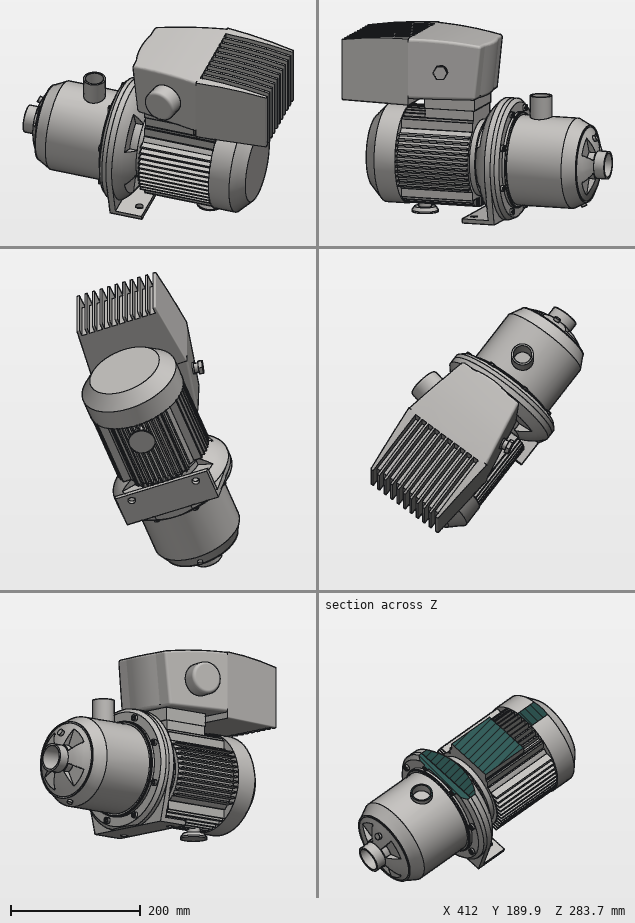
import cadquery as cq
import math

GROUND_Z = -90.2

INLET_RADIUS = 21.5
INLET_BORE_RADIUS = 18.5
INLET_BORE_DEPTH = 33.0
OUTLET_X = 109.0
OUTLET_TOP_Z = 103.0
OUTLET_RADIUS = 17.0
OUTLET_BORE_RADIUS = 14.0
OUTLET_BORE_DEPTH = 41.0
DOME_START_X = 16.5
DOME_MIDDLE = (22.2, 39.5)
DOME_END = (31.0, 55.0)
DOME_HUB_RADIUS = 23.0
HEAD_RIM_X = 32.0
HEAD_RIM_INNER_RADIUS = 57.3
HEAD_RIM_RADIUS = 59.7
HEAD_CONE_X = 33.5
BARREL_START_X = 53.0
BARREL_RADIUS = 70.0
COLLAR_LIP_X = 141.7
COLLAR_LIP_RADIUS = 73.0
COLLAR_X = 143.8
COLLAR_RADIUS = 74.5
DOME_POCKET_X = 27.5
DOME_POCKET_ANGLE = 38.0
PLUG_HEIGHT = 3.7
VENT_PLUG_RADIUS = 5.0
VENT_PLUG_X = 22.0
VENT_PLUG_OFFSET = 40.8
VENT_PLUG_TILT = 25.0
DRAIN_PLUG_RADIUS = 4.0
DRAIN_PLUG_X = 40.5

RING_START_X = 148.0
RING_END_X = 160.3
FLANGE_RADIUS = 94.95
RING_CHAMFER = 5.8
SCREW_COUNT = 8
SCREW_CIRCLE_RADIUS = 82.5
SCREW_HEAD_RADIUS = 4.75
SCREW_HEAD_HEIGHT = 4.5
SCREW_SOCKET_RADIUS = 3.0
SCREW_SOCKET_DEPTH = 2.0

LANTERN_RIM_END_X = 169.7
LANTERN_CURVE_MIDDLE = (186.2, 77.5)
LANTERN_CURVE_END = (197.5, 55.0)
WINDOW_HUB_RADIUS = 54.5
SPIGOT_RADIUS = 59.5
WINDOW_X = 183.8
WINDOW_ANGLE = 44.0
FOOT_HALF_WIDTH = 75.0
FOOT_END_X = 212.0
FOOT_THICKNESS = 7.0
FOOT_HOLE_RADIUS = 5.8
FOOT_HOLE_X = 200.5
FOOT_HOLE_Y = 52.7

MOTOR_START_X = 206.0
MOTOR_END_X = 321.5
MOTOR_RADIUS = 76.2
CORE_RADIUS = 66.0
BLOCK_HALF_WIDTH = 43.5
BLOCK_TOP_Z = 61.0
LEDGE_Z = 47.5
FIN_THICKNESS = 2.0
FIN_PITCH = 8.0
FINS_PER_HALF = 5
PAD_START_X = 206.0
PAD_END_X = 284.5
PAD_HALF_WIDTH = 40.0
PAD_TOP_Z = 79.5

COVER_RADIUS = 77.5
COVER_TAPER_X = 355.0
COVER_END_X = 375.0
COVER_END_RADIUS = 57.3

STEM_X = 298.0
STEM_RADIUS = 10.5
STEM_TOP_Z = -BLOCK_TOP_Z
FOOT_CONE_TOP_Z = -82.0
FOOT_CONE_TOP_RADIUS = 16.5
FOOT_DISC_TOP_Z = -87.8
FOOT_DISC_RADIUS = 20.5

NECK_START_X = 204.5
NECK_END_X = 285.5
NECK_HALF_WIDTH = 40.5
BOX_BOTTOM_Z = 99.3
BOX_REAR_BOTTOM_Z = 89.5
BOX_SPLIT_X = 300.5
BOX_SPLIT_HALF_WIDTH = 75.5
BOX_END_X = 412.0
BOX_END_HALF_WIDTH = 65.0
BOX_CORNER = (189.0, 54.5)
BOX_FLAT_END = (188.3, 33.5)
BOX_BULGE_X = 183.8
BOX_FRONT_LEAN = 0.11
ROOF_FRONT = (181.3, 183.0)
ROOF_TOP = (300.0, 193.5)
ROOF_END_Z = 184.0
ROOF_CLEARANCE_Z = 197.8
ROOF_EDGE_Z = 184.5
BOX_EDGE_RADIUS = 4.5
BOX_REAR_EDGE_RADIUS = 2.0
SLOT_COUNT = 10
SLOT_START_X = 303.0
SLOT_FLOOR_END_X = 401.3
SLOT_FLOOR_Z = 165.0
HEAT_FIN_THICKNESS = 3.7
HEAT_SLOT_WIDTH = 8.75

FITTING_X = 249.3
FITTING_Z = 144.0
KNOB_RADIUS = 25.0
KNOB_LENGTH = 25.0
KNOB_EDGE_RADIUS = 5.0
GLAND_NECK_RADIUS = 7.5
GLAND_NECK_LENGTH = 9.5
GLAND_COLLAR_RADIUS = 9.0
GLAND_COLLAR_LENGTH = 2.5
GLAND_HEX_DIAMETER = 22.5
GLAND_HEX_LENGTH = 6.0


def turned(points):
    """Solid turned around the shaft axis from (X, radius) points."""
    return cq.Workplane("XY").polyline(points).close().revolve(360, (0, 0, 0), (1, 0, 0))


def disc(start_x, end_x, radius):
    return cq.Workplane("YZ", origin=(start_x, 0, 0)).circle(radius).extrude(end_x - start_x)


def block(x_range, y_range, z_range):
    size = [high - low for low, high in (x_range, y_range, z_range)]
    corner = cq.Vector(x_range[0], y_range[0], z_range[0])
    return cq.Workplane("XY").box(*size, centered=False).translate(corner)


def diagonal_sectors(start_x, end_x, inner_radius, outer_radius, opening):
    """Four ring sectors, each centred on a diagonal of the YZ plane."""
    ring = disc(start_x, end_x, outer_radius).cut(disc(start_x, end_x, inner_radius))
    reach = 2 * outer_radius
    half_height = reach * math.tan(math.radians(opening / 2))
    wedge = (
        cq.Workplane("YZ", origin=(start_x, 0, 0))
        .polyline([(0, 0), (reach, -half_height), (reach, half_height)])
        .close()
        .extrude(end_x - start_x)
    )
    sectors = cq.Workplane("XY")
    for angle in (45, 135, 225, 315):
        turned_wedge = wedge.rotate((0, 0, 0), (1, 0, 0), angle)
        sectors = sectors.add(ring.intersect(turned_wedge))
    return sectors.combine()


def above_ground(body):
    reach = 2 * FLANGE_RADIUS
    return body.cut(block((0, BOX_END_X), (-reach, reach), (GROUND_Z - reach, GROUND_Z)))


def plug(x, z, direction, radius):
    """Round plug standing out of the casing at (x, 0, z); it is sunk as deep as it stands out."""
    outward = cq.Vector(*direction).normalized()
    start = cq.Vector(x, 0, z) - outward * PLUG_HEIGHT
    return cq.Workplane(cq.Solid.makeCylinder(radius, 2 * PLUG_HEIGHT, start, outward))


def make_casing():
    profile = (
        cq.Workplane("XY")
        .moveTo(0, 0)
        .lineTo(0, INLET_RADIUS)
        .lineTo(DOME_START_X, INLET_RADIUS)
        .threePointArc(DOME_MIDDLE, DOME_END)
        .lineTo(HEAD_RIM_X, HEAD_RIM_INNER_RADIUS)
        .lineTo(HEAD_RIM_X, HEAD_RIM_RADIUS)
        .lineTo(HEAD_CONE_X, HEAD_RIM_RADIUS)
        .lineTo(BARREL_START_X, BARREL_RADIUS)
        .lineTo(COLLAR_LIP_X, BARREL_RADIUS)
        .lineTo(COLLAR_LIP_X, COLLAR_LIP_RADIUS)
        .lineTo(COLLAR_X, COLLAR_LIP_RADIUS)
        .lineTo(COLLAR_X, COLLAR_RADIUS)
        .lineTo(RING_START_X, COLLAR_RADIUS)
        .lineTo(RING_START_X, 0)
        .close()
    )
    casing = profile.revolve(360, (0, 0, 0), (1, 0, 0))
    casing = casing.cut(
        diagonal_sectors(0, DOME_POCKET_X, DOME_HUB_RADIUS, BARREL_RADIUS, DOME_POCKET_ANGLE)
    )
    casing = casing.cut(disc(0, INLET_BORE_DEPTH, INLET_BORE_RADIUS))

    outlet = cq.Workplane("XY", origin=(OUTLET_X, 0, 0)).circle(OUTLET_RADIUS).extrude(OUTLET_TOP_Z)
    outlet_bore = (
        cq.Workplane("XY", origin=(OUTLET_X, 0, OUTLET_TOP_Z))
        .circle(OUTLET_BORE_RADIUS)
        .extrude(-OUTLET_BORE_DEPTH)
    )
    casing = casing.union(outlet).cut(outlet_bore)

    tilt = math.radians(VENT_PLUG_TILT)
    vent_direction = (-math.cos(tilt), 0, math.sin(tilt))
    casing = casing.union(plug(VENT_PLUG_X, VENT_PLUG_OFFSET, vent_direction, VENT_PLUG_RADIUS))

    cone_length = BARREL_START_X - HEAD_CONE_X
    cone_rise = BARREL_RADIUS - HEAD_RIM_RADIUS
    drain_offset = HEAD_RIM_RADIUS + cone_rise * (DRAIN_PLUG_X - HEAD_CONE_X) / cone_length
    drain_direction = (-cone_rise, 0, -cone_length)
    return casing.union(plug(DRAIN_PLUG_X, -drain_offset, drain_direction, DRAIN_PLUG_RADIUS))


def make_clamp_ring():
    ring = disc(RING_START_X, RING_END_X, FLANGE_RADIUS).faces("<X").chamfer(RING_CHAMFER)
    ring = above_ground(ring)
    screw_places = [
        (
            SCREW_CIRCLE_RADIUS * math.cos(2 * math.pi * (index + 0.5) / SCREW_COUNT),
            SCREW_CIRCLE_RADIUS * math.sin(2 * math.pi * (index + 0.5) / SCREW_COUNT),
        )
        for index in range(SCREW_COUNT)
    ]
    head_plane = cq.Workplane("YZ", origin=(RING_START_X - SCREW_HEAD_HEIGHT, 0, 0))
    heads = head_plane.pushPoints(screw_places).circle(SCREW_HEAD_RADIUS).extrude(SCREW_HEAD_HEIGHT)
    sockets = head_plane.pushPoints(screw_places).circle(SCREW_SOCKET_RADIUS).extrude(SCREW_SOCKET_DEPTH)
    return ring.union(heads).cut(sockets)


def make_lantern():
    profile = (
        cq.Workplane("XY")
        .moveTo(RING_END_X, 0)
        .lineTo(RING_END_X, FLANGE_RADIUS)
        .lineTo(LANTERN_RIM_END_X, FLANGE_RADIUS)
        .threePointArc(LANTERN_CURVE_MIDDLE, LANTERN_CURVE_END)
        .lineTo(LANTERN_CURVE_END[0], SPIGOT_RADIUS)
        .lineTo(MOTOR_START_X, SPIGOT_RADIUS)
        .lineTo(MOTOR_START_X, 0)
        .close()
    )
    lantern = profile.revolve(360, (0, 0, 0), (1, 0, 0))
    lantern = lantern.cut(
        diagonal_sectors(WINDOW_X, LANTERN_CURVE_END[0], WINDOW_HUB_RADIUS, FLANGE_RADIUS, WINDOW_ANGLE)
    )
    lantern = above_ground(lantern)

    corner_distance = math.hypot(FOOT_HALF_WIDTH, GROUND_Z)
    tangent_angle = math.atan2(GROUND_Z, FOOT_HALF_WIDTH) + math.acos(FLANGE_RADIUS / corner_distance)
    tangent_y = FLANGE_RADIUS * math.cos(tangent_angle)
    tangent_z = FLANGE_RADIUS * math.sin(tangent_angle)
    outline = (
        cq.Workplane("YZ", origin=(RING_END_X, 0, 0))
        .polyline([
            (-FOOT_HALF_WIDTH, GROUND_Z),
            (FOOT_HALF_WIDTH, GROUND_Z),
            (tangent_y, tangent_z),
            (-tangent_y, tangent_z),
        ])
        .close()
        .extrude(FOOT_END_X - RING_END_X)
    )
    above_base = block(
        (LANTERN_RIM_END_X, FOOT_END_X),
        (-FLANGE_RADIUS, FLANGE_RADIUS),
        (GROUND_Z + FOOT_THICKNESS, 0),
    )
    holes = (
        cq.Workplane("XY", origin=(0, 0, GROUND_Z))
        .pushPoints([(FOOT_HOLE_X, -FOOT_HOLE_Y), (FOOT_HOLE_X, FOOT_HOLE_Y)])
        .circle(FOOT_HOLE_RADIUS)
        .extrude(FOOT_THICKNESS)
    )
    return lantern.union(outline.cut(above_base).cut(holes))


def make_motor_foot():
    return (
        cq.Workplane("XZ")
        .polyline([
            (0, GROUND_Z),
            (FOOT_DISC_RADIUS, GROUND_Z),
            (FOOT_DISC_RADIUS, FOOT_DISC_TOP_Z),
            (FOOT_CONE_TOP_RADIUS, FOOT_CONE_TOP_Z),
            (STEM_RADIUS, FOOT_CONE_TOP_Z),
            (STEM_RADIUS, STEM_TOP_Z),
            (0, STEM_TOP_Z),
        ])
        .close()
        .revolve(360, (0, 0, 0), (0, 1, 0))
        .translate((STEM_X, 0, 0))
    )


def make_motor(motor_foot):
    length = (MOTOR_START_X, MOTOR_END_X)
    envelope = disc(*length, MOTOR_RADIUS)
    core = disc(*length, CORE_RADIUS).intersect(
        block(length, (-MOTOR_RADIUS, MOTOR_RADIUS), (-LEDGE_Z, LEDGE_Z))
    )
    fin_block = block(
        length, (-BLOCK_HALF_WIDTH, BLOCK_HALF_WIDTH), (-BLOCK_TOP_Z, BLOCK_TOP_Z)
    )
    motor = core.union(fin_block)
    for index in range(-FINS_PER_HALF, FINS_PER_HALF + 1):
        low = index * FIN_PITCH - FIN_THICKNESS / 2
        span = (low, low + FIN_THICKNESS)
        reach = (-MOTOR_RADIUS, MOTOR_RADIUS)
        motor = motor.union(block(length, reach, span).intersect(envelope))
        motor = motor.union(block(length, span, reach).intersect(envelope))
    pad = block((PAD_START_X, PAD_END_X), (-PAD_HALF_WIDTH, PAD_HALF_WIDTH), (0, PAD_TOP_Z))
    return motor.union(pad).cut(motor_foot)


def make_fan_cover():
    return turned([
        (MOTOR_END_X, 0),
        (MOTOR_END_X, COVER_RADIUS),
        (COVER_TAPER_X, COVER_RADIUS),
        (COVER_END_X, COVER_END_RADIUS),
        (COVER_END_X, 0),
    ])


def box_profile(start_x, end_x, bottom_z):
    """Side shape of the box under its arched roof, between two X places."""
    arch = (
        cq.Workplane("XZ", origin=(0, FLANGE_RADIUS, 0))
        .moveTo(ROOF_FRONT[0], bottom_z)
        .lineTo(*ROOF_FRONT)
        .threePointArc(ROOF_TOP, (BOX_END_X, ROOF_END_Z))
        .lineTo(BOX_END_X, bottom_z)
        .close()
        .extrude(2 * FLANGE_RADIUS)
    )
    height = (bottom_z, ROOF_CLEARANCE_Z)
    return arch.intersect(block((start_x, end_x), (-FLANGE_RADIUS, FLANGE_RADIUS), height))


def make_box_front():
    depth = ROOF_CLEARANCE_Z - BOX_BOTTOM_Z
    corner_x, corner_y = BOX_CORNER
    flat_x, flat_y = BOX_FLAT_END
    wall_slope = (BOX_SPLIT_HALF_WIDTH - corner_y) / (BOX_SPLIT_X - corner_x)
    start_x = BOX_BULGE_X - 4
    start_y = corner_y - wall_slope * (corner_x - start_x)
    walls = (
        cq.Workplane("XY", origin=(0, 0, BOX_BOTTOM_Z))
        .polyline([
            (start_x, -start_y),
            (BOX_SPLIT_X, -BOX_SPLIT_HALF_WIDTH),
            (BOX_SPLIT_X, BOX_SPLIT_HALF_WIDTH),
            (start_x, start_y),
        ])
        .close()
        .extrude(depth)
    )

    set_back = BOX_FRONT_LEAN * (ROOF_EDGE_Z - BOX_BOTTOM_Z)
    flat_slope = (corner_x - flat_x) / (corner_y - flat_y)
    outer_x = corner_x + flat_slope * (FLANGE_RADIUS - corner_y)
    leaning_outline = (
        cq.Workplane("XY", origin=(set_back, 0, BOX_BOTTOM_Z))
        .moveTo(outer_x, -FLANGE_RADIUS)
        .lineTo(flat_x, -flat_y)
        .threePointArc((BOX_BULGE_X, 0), (flat_x, flat_y))
        .lineTo(outer_x, FLANGE_RADIUS)
        .lineTo(BOX_END_X, FLANGE_RADIUS)
        .lineTo(BOX_END_X, -FLANGE_RADIUS)
        .close()
    )
    lean = cq.Vector(-BOX_FRONT_LEAN * depth, 0, depth)
    leaning = cq.Workplane(cq.Solid.extrudeLinear(leaning_outline.wires().val(), [], lean))
    front = box_profile(ROOF_FRONT[0], BOX_SPLIT_X, BOX_BOTTOM_Z).intersect(walls).intersect(leaning)
    return front.edges("not(>X)").fillet(BOX_EDGE_RADIUS)


def make_box_rear():
    plan = (
        cq.Workplane("XY", origin=(0, 0, BOX_REAR_BOTTOM_Z))
        .polyline([
            (BOX_SPLIT_X, -BOX_SPLIT_HALF_WIDTH),
            (BOX_END_X, -BOX_END_HALF_WIDTH),
            (BOX_END_X, BOX_END_HALF_WIDTH),
            (BOX_SPLIT_X, BOX_SPLIT_HALF_WIDTH),
        ])
        .close()
        .extrude(ROOF_CLEARANCE_Z - BOX_REAR_BOTTOM_Z)
    )
    rear = plan.edges("|Z and >X").fillet(BOX_REAR_EDGE_RADIUS)
    rear = rear.faces("<Z").edges("not(<X)").fillet(BOX_REAR_EDGE_RADIUS)
    rear = rear.intersect(box_profile(BOX_SPLIT_X, BOX_END_X, BOX_REAR_BOTTOM_Z))
    slots_width = SLOT_COUNT * HEAT_SLOT_WIDTH + (SLOT_COUNT - 1) * HEAT_FIN_THICKNESS
    for index in range(SLOT_COUNT):
        low = index * (HEAT_SLOT_WIDTH + HEAT_FIN_THICKNESS) - slots_width / 2
        span = (low, low + HEAT_SLOT_WIDTH)
        rear = rear.cut(block((SLOT_START_X, BOX_END_X), span, (SLOT_FLOOR_Z, ROOF_CLEARANCE_Z)))
        rear = rear.cut(block((SLOT_FLOOR_END_X, BOX_END_X), span, (BOX_REAR_BOTTOM_Z, ROOF_CLEARANCE_Z)))
    return rear


def make_control_box():
    neck = block(
        (NECK_START_X, NECK_END_X), (-NECK_HALF_WIDTH, NECK_HALF_WIDTH), (PAD_TOP_Z, BOX_BOTTOM_Z)
    )
    return make_box_front().union(make_box_rear()).union(neck).clean()


def wall_plane(side):
    """Workplane on a side wall of the box, facing outwards; side is 1 for +Y and -1 for -Y."""
    run = BOX_SPLIT_X - BOX_CORNER[0]
    rise = BOX_SPLIT_HALF_WIDTH - BOX_CORNER[1]
    wall_y = BOX_CORNER[1] + rise * (FITTING_X - BOX_CORNER[0]) / run
    plane = cq.Plane(
        origin=(FITTING_X, side * wall_y, FITTING_Z),
        xDir=(run, side * rise, 0),
        normal=(-rise, side * run, 0),
    )
    return cq.Workplane(plane)


def make_knob():
    knob = wall_plane(-1).circle(KNOB_RADIUS).extrude(KNOB_LENGTH)
    return knob.faces("<Y").edges().fillet(KNOB_EDGE_RADIUS)


def make_cable_gland():
    collar = wall_plane(1).circle(GLAND_COLLAR_RADIUS).extrude(GLAND_COLLAR_LENGTH)
    neck = wall_plane(1).circle(GLAND_NECK_RADIUS).extrude(GLAND_NECK_LENGTH)
    head = (
        wall_plane(1)
        .workplane(offset=GLAND_NECK_LENGTH)
        .polygon(6, GLAND_HEX_DIAMETER)
        .extrude(GLAND_HEX_LENGTH)
    )
    return collar.union(neck).union(head)


casing = make_casing()
clamp_ring = make_clamp_ring()
lantern = make_lantern()
motor_foot = make_motor_foot()
motor = make_motor(motor_foot)
fan_cover = make_fan_cover()
control_box = make_control_box()
knob = make_knob()
cable_gland = make_cable_gland()

result = cq.Compound.makeCompound([
    casing.val(),
    clamp_ring.val(),
    lantern.val(),
    motor_foot.val(),
    motor.val(),
    fan_cover.val(),
    control_box.val(),
    knob.val(),
    cable_gland.val(),
])